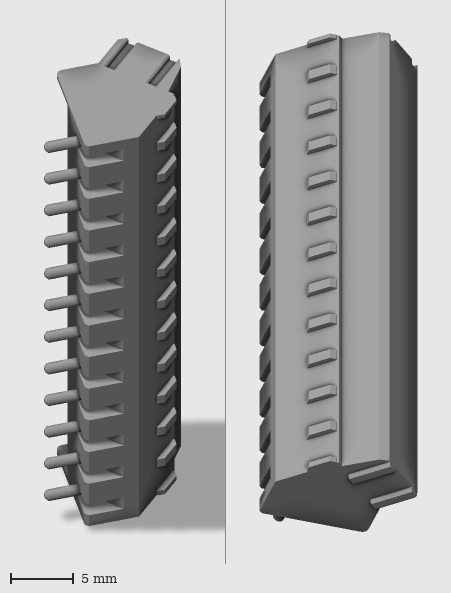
import cadquery as cq
import math

CONTACTS = 12
TOTAL_HEIGHT = 42.5
PEG_LENGTH = 0.5
HEIGHT = TOTAL_HEIGHT - PEG_LENGTH
PITCH = HEIGHT / CONTACTS
ROW_OFFSET = 0.065

NECK_LEFT = 2.3
NECK_RIGHT = 8.2
NECK_FOOT_RIGHT = 8.75
NECK_DEPTH = 3.7
NECK_FOOT_LEFT = 3.6
NECK_CHAMFER = 0.5
RIGHT_CHAMFER_DEPTH = 0.7
BODY_RIGHT = 9.3
BODY_FRONT = 12.32
FRONT_FLAT_LEFT = 6.0
FRONT_FLAT_RIGHT = 6.38
NOSE_RADIUS = 0.5

LOWER_PLATE = 0.5
UPPER_PLATE = 0.4

TAB_RIGHT = 9.8
TAB_BACK = 3.85
TAB_FRONT = 6.5
TAB_CHAMFER = 0.4
TAB_HEIGHT = 0.85

SLOT_HEIGHT = 1.25
SLOT_FLOOR_Y = -10.3
PIN_DIAMETER = 0.95
PIN_AXIS_X = 4.95
PIN_FRONT = 12.85
PIN_TIP_CHAMFER = 0.25
PIN_ROOT = 0.85

KEY_CENTRES = (3.35, 7.2)
GROOVE_MOUTH = 1.05
GROOVE_CHAMFER_DEPTH = 0.13
GROOVE_WIDTH = 0.75
GROOVE_DEPTH = PEG_LENGTH
PEG_WIDTH = 0.98
PEG_END_WIDTH = 0.72


def contact_height(index):
    """Height of a contact axis, counted from the lower end."""
    return (index + 0.5) * PITCH + ROW_OFFSET


def make_housing():
    """Full-height prism with the plate nose, which is then cut away between the end plates."""
    back_sum = -NECK_FOOT_LEFT - NECK_LEFT
    front_sum = -BODY_FRONT + FRONT_FLAT_LEFT
    nose_x = (front_sum - back_sum) / 2
    nose_y = (front_sum + back_sum) / 2
    corner_y = -BODY_FRONT + BODY_RIGHT - FRONT_FLAT_RIGHT
    outline = [
        (NECK_LEFT + NECK_CHAMFER, 0),
        (NECK_RIGHT - NECK_CHAMFER, 0),
        (NECK_RIGHT, -RIGHT_CHAMFER_DEPTH),
        (NECK_FOOT_RIGHT, -NECK_DEPTH),
        (BODY_RIGHT, -NECK_DEPTH),
        (BODY_RIGHT, corner_y),
        (FRONT_FLAT_RIGHT, -BODY_FRONT),
        (FRONT_FLAT_LEFT, -BODY_FRONT),
        (nose_x, nose_y),
        (NECK_LEFT, -NECK_FOOT_LEFT),
        (NECK_LEFT, -NECK_CHAMFER),
    ]
    housing = cq.Workplane("XY").polyline(outline).close().extrude(HEIGHT)
    housing = housing.edges("|Z and <X").fillet(NOSE_RADIUS)
    recess = (
        cq.Workplane("XY", origin=(0, 0, LOWER_PLATE))
        .rect(2 * NECK_LEFT, 2 * BODY_FRONT)
        .extrude(HEIGHT - LOWER_PLATE - UPPER_PLATE)
    )
    return housing.cut(recess)


def make_tabs():
    """Chamfered tabs midway between contacts; those at the ends are trimmed by the end faces."""
    outline = [
        (BODY_RIGHT - TAB_CHAMFER, -TAB_BACK),
        (TAB_RIGHT - TAB_CHAMFER, -TAB_BACK),
        (TAB_RIGHT, -TAB_BACK - TAB_CHAMFER),
        (TAB_RIGHT, -TAB_FRONT + TAB_CHAMFER),
        (TAB_RIGHT - TAB_CHAMFER, -TAB_FRONT),
        (BODY_RIGHT - TAB_CHAMFER, -TAB_FRONT),
    ]
    tabs = cq.Workplane("XY")
    for index in range(CONTACTS + 1):
        middle = index * PITCH + ROW_OFFSET
        bottom = max(middle - TAB_HEIGHT / 2, 0)
        top = min(middle + TAB_HEIGHT / 2, HEIGHT)
        tab = cq.Workplane("XY", origin=(0, 0, bottom)).polyline(outline).close().extrude(top - bottom)
        tabs = tabs.add(tab)
    return tabs.combine()


def make_slots():
    """Slots across the front corner, one per contact, with a flat floor facing -Y."""
    slot_depth = SLOT_FLOOR_Y + BODY_FRONT
    slots = cq.Workplane("XY")
    for index in range(CONTACTS):
        slot = cq.Workplane("XY").box(BODY_RIGHT, slot_depth, SLOT_HEIGHT, centered=(False, False, True))
        slots = slots.add(slot.translate((0, -BODY_FRONT, contact_height(index))))
    return slots.combine()


def make_pins():
    """Round pins leaving the slot floors at 45 degrees, with chamfered tips."""
    slant = math.sqrt(0.5)
    tip_radius = PIN_DIAMETER / 2 - PIN_TIP_CHAMFER
    reach = (PIN_FRONT + SLOT_FLOOR_Y) / slant - tip_radius
    root = PIN_ROOT * slant
    pins = cq.Workplane("XY")
    for index in range(CONTACTS):
        start = (PIN_AXIS_X + root, SLOT_FLOOR_Y + root, contact_height(index))
        plane = cq.Plane(origin=start, xDir=(0, 0, 1), normal=(-1, -1, 0))
        pin = cq.Workplane(plane).circle(PIN_DIAMETER / 2).extrude(PIN_ROOT + reach)
        pins = pins.add(pin.faces("<(1,1,0)").chamfer(PIN_TIP_CHAMFER))
    return pins.combine()


def make_key_prisms(outline):
    """Sweep an XZ outline from the back face to the neck foot at both key positions."""
    prisms = cq.Workplane("XY")
    for centre in KEY_CENTRES:
        prism = cq.Workplane("XZ").polyline(outline).close().extrude(NECK_DEPTH)
        prisms = prisms.add(prism.translate((centre, 0, 0)))
    return prisms.combine()


def make_grooves():
    """Straight grooves with chamfered mouths, open to the upper end face and the back."""
    outline = [
        (-GROOVE_MOUTH / 2, HEIGHT),
        (GROOVE_MOUTH / 2, HEIGHT),
        (GROOVE_WIDTH / 2, HEIGHT - GROOVE_CHAMFER_DEPTH),
        (GROOVE_WIDTH / 2, HEIGHT - GROOVE_DEPTH),
        (-GROOVE_WIDTH / 2, HEIGHT - GROOVE_DEPTH),
        (-GROOVE_WIDTH / 2, HEIGHT - GROOVE_CHAMFER_DEPTH),
    ]
    return make_key_prisms(outline)


def make_pegs():
    """Hexagonal pegs below the lower end face, widest at half their length."""
    outline = [
        (-PEG_END_WIDTH / 2, 0),
        (PEG_END_WIDTH / 2, 0),
        (PEG_WIDTH / 2, -PEG_LENGTH / 2),
        (PEG_END_WIDTH / 2, -PEG_LENGTH),
        (-PEG_END_WIDTH / 2, -PEG_LENGTH),
        (-PEG_WIDTH / 2, -PEG_LENGTH / 2),
    ]
    return make_key_prisms(outline)


result = (
    make_housing()
    .union(make_tabs())
    .cut(make_slots())
    .cut(make_grooves())
    .union(make_pegs())
    .union(make_pins())
)